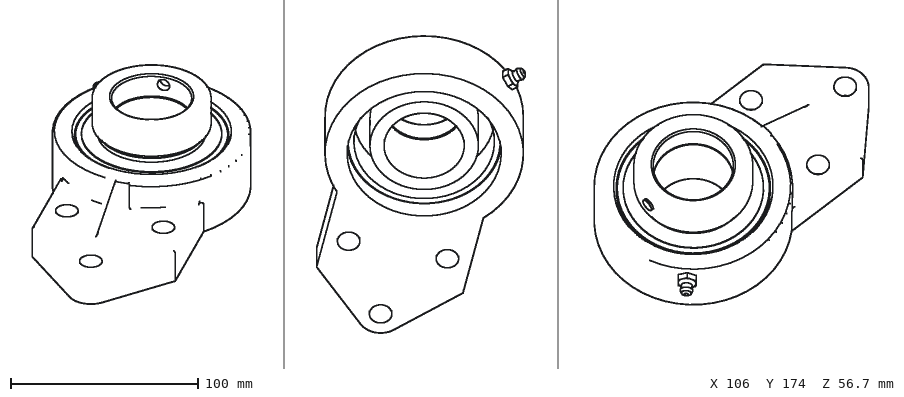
import cadquery as cq
import math

overall_length = 174.0
housing_diameter = 106.0
housing_height = 34.8
housing_edge_fillet = 1.0

plate_width = 80.0
plate_thickness = 19.1
plate_edge_fillet = 1.7
plate_shoulder_y = -85.5
tip_radius = 12.7
tip_hole_y = housing_diameter / 2 - overall_length + tip_radius
side_hole_x = 27.0
side_hole_y = -65.0
mounting_hole_diameter = 12.0
root_fillet = 1.2

rib_width = 8.2
rib_edge_fillet = 1.2
rib_end_y = -90.0

recess_diameter = 85.0
recess_fillet = 1.4

bearing_center_z = 21.7
sphere_diameter = 85.0
outer_ring_width = 22.0
outer_ring_bore = 75.0
outer_ring_chamfer = 0.5
outer_ring_end_diameter = math.sqrt(sphere_diameter**2 - outer_ring_width**2)
outer_ring_bottom_z = bearing_center_z - outer_ring_width / 2
outer_ring_top_z = bearing_center_z + outer_ring_width / 2

inner_ring_diameter = 58.0
inner_ring_shoulder_z = 36.2
neck_diameter = 57.0
spigot_diameter = 50.3
spigot_top_z = 43.1
shaft_bore = 42.8
spigot_chamfer = 0.9

shield_rim_z = 33.2
shield_inner_z = 33.8
shield_thickness = 1.7

collar_diameter = 63.5
collar_bottom_z = 39.0
collar_top_z = 56.7
collar_edge_fillet = 0.9
collar_bore_chamfer = 1.0

screw_diameter = 6.8
screw_z = 50.8
screw_inner_y = 26.1
screw_outer_y = 32.9

nipple_direction = 135
nipple_z = 27.3
hex_across_flats = 9.5
hex_end = 56.2
nipple_neck_radius = 3.0
nipple_neck_start = 57.8
nipple_neck_end = 59.2
nipple_head_radius = 3.4
nipple_head_widest = 60.7
nipple_nose_radius = 2.6
nipple_nose_start = 62.5
nipple_tip_radius = 1.13
nipple_tip = 63.3

SMALL = 0.02


def cylinder(diameter, bottom_z, top_z):
    return cq.Workplane("XY").workplane(offset=bottom_z).circle(diameter / 2).extrude(top_z - bottom_z)


def make_plate():
    half_width = plate_width / 2
    reach_y = plate_shoulder_y - tip_hole_y
    distance = math.hypot(half_width, reach_y)
    angle = math.atan2(reach_y, half_width) - math.acos(tip_radius / distance)
    tangent_x = tip_radius * math.cos(angle)
    tangent_y = tip_hole_y + tip_radius * math.sin(angle)
    return (
        cq.Workplane("XY")
        .moveTo(-half_width, 0)
        .lineTo(-half_width, plate_shoulder_y)
        .lineTo(-tangent_x, tangent_y)
        .threePointArc((0, tip_hole_y - tip_radius), (tangent_x, tangent_y))
        .lineTo(half_width, plate_shoulder_y)
        .lineTo(half_width, 0)
        .close()
        .extrude(plate_thickness)
        .faces(">Z")
        .edges("not >Y")
        .fillet(plate_edge_fillet)
    )


def make_rib():
    body_y = -housing_diameter / 2
    return (
        cq.Workplane("YZ")
        .moveTo(0, 0)
        .lineTo(0, housing_height)
        .lineTo(body_y, housing_height)
        .lineTo(rib_end_y, plate_thickness)
        .lineTo(rib_end_y, 0)
        .close()
        .extrude(rib_width / 2, both=True)
    )


def make_sphere_band():
    """Solid zone of the bearing sphere, as wide as the outer ring."""
    sphere = cq.Workplane("XY").sphere(sphere_diameter / 2).translate((0, 0, bearing_center_z))
    return sphere.intersect(cylinder(sphere_diameter, outer_ring_bottom_z, outer_ring_top_z))


def round_rib(flange):
    """Round the long edges along the rib's sloping top and the corners at its foot."""
    foot_lines = cq.selectors.BoxSelector(
        (-rib_width, rib_end_y - SMALL, plate_thickness - SMALL),
        (rib_width, SMALL, plate_thickness + SMALL),
    )
    slope_edges = cq.selectors.BoxSelector(
        (-rib_width, rib_end_y, plate_thickness + root_fillet + SMALL),
        (rib_width, -SMALL, housing_height - SMALL),
    )
    return flange.edges(foot_lines).fillet(root_fillet).edges(slope_edges).fillet(rib_edge_fillet)


def make_body_foot():
    """Concave rounding in the corner between the round body and the top of the plate."""
    body_radius = housing_diameter / 2
    arc_center = (body_radius + root_fillet, plate_thickness + root_fillet)
    arc_reach = root_fillet * math.sqrt(0.5)
    foot = (
        cq.Workplane("XZ")
        .moveTo(body_radius - root_fillet, plate_thickness)
        .lineTo(body_radius + root_fillet, plate_thickness)
        .threePointArc(
            (arc_center[0] - arc_reach, arc_center[1] - arc_reach),
            (body_radius, plate_thickness + root_fillet),
        )
        .lineTo(body_radius - root_fillet, plate_thickness + root_fillet)
        .close()
        .revolve(360, (0, 0), (0, 1))
    )
    flat_width = plate_width - 2 * plate_edge_fillet
    plate_side = cq.Workplane("XY").box(
        flat_width, housing_diameter, housing_height, centered=(True, False, False)
    ).translate((0, -housing_diameter, 0))
    return foot.intersect(plate_side)


def make_housing():
    body = cylinder(housing_diameter, 0, housing_height).faces(">Z").edges().fillet(housing_edge_fillet)
    flange = round_rib(make_plate().union(make_rib()))
    outside = body.union(flange).union(make_body_foot())
    holes = (
        cq.Workplane("XY")
        .pushPoints([(-side_hole_x, side_hole_y), (side_hole_x, side_hole_y), (0, tip_hole_y)])
        .circle(mounting_hole_diameter / 2)
        .extrude(plate_thickness)
    )
    recess = cylinder(recess_diameter, outer_ring_top_z, housing_height)
    recess = recess.faces("<Z").edges().fillet(recess_fillet)
    exit_hole = cylinder(outer_ring_end_diameter, 0, outer_ring_bottom_z)
    return outside.cut(holes).cut(recess).cut(make_sphere_band()).cut(exit_hole)


def make_outer_ring():
    ring = make_sphere_band().faces(">Z or <Z").edges().chamfer(outer_ring_chamfer)
    return ring.cut(cylinder(outer_ring_bore, outer_ring_bottom_z, outer_ring_top_z))


def make_shield():
    """Disc between the rings, rising in a shallow cone towards the inner ring."""
    return (
        cq.Workplane("XZ")
        .moveTo(inner_ring_diameter / 2, shield_inner_z)
        .lineTo(outer_ring_bore / 2, shield_rim_z)
        .lineTo(outer_ring_bore / 2, shield_rim_z - shield_thickness)
        .lineTo(inner_ring_diameter / 2, shield_inner_z - shield_thickness)
        .close()
        .revolve(360, (0, 0), (0, 1))
    )


def make_inner_ring():
    bottom_z = 2 * bearing_center_z - inner_ring_shoulder_z
    ring = (
        cylinder(inner_ring_diameter, bottom_z, inner_ring_shoulder_z)
        .union(cylinder(neck_diameter, inner_ring_shoulder_z, collar_bottom_z))
        .union(cylinder(spigot_diameter, collar_bottom_z, spigot_top_z))
        .cut(cylinder(shaft_bore, bottom_z, spigot_top_z))
    )
    return ring.faces(">Z").edges(cq.selectors.RadiusNthSelector(0)).chamfer(spigot_chamfer)


def make_screw_blank(inner_y, outer_y):
    """Round bar of the set screw, between two distances from the Z axis."""
    return (
        cq.Workplane("XZ", origin=(0, inner_y, screw_z))
        .circle(screw_diameter / 2)
        .extrude(inner_y - outer_y)
    )


def make_collar():
    collar = cylinder(collar_diameter, collar_bottom_z, collar_top_z)
    collar = collar.faces(">Z or <Z").edges().fillet(collar_edge_fillet)
    collar = collar.cut(cylinder(shaft_bore, collar_bottom_z, collar_top_z))
    collar = collar.faces(">Z").edges(cq.selectors.RadiusNthSelector(0)).chamfer(collar_bore_chamfer)
    collar = collar.cut(cylinder(spigot_diameter, collar_bottom_z, spigot_top_z))
    return collar.cut(make_screw_blank(0, collar_diameter / 2))


def make_nipple():
    """Built along +X from the Z axis, seated on the round body, then turned to its direction."""
    hexagon = (
        cq.Workplane("YZ")
        .polygon(6, hex_across_flats, circumscribed=True)
        .extrude(hex_end)
    )
    head = (
        cq.Workplane("XY")
        .moveTo(hex_end, 0)
        .lineTo(hex_end, hex_across_flats / 2)
        .lineTo(nipple_neck_start, nipple_neck_radius)
        .lineTo(nipple_neck_end, nipple_neck_radius)
        .lineTo(nipple_head_widest, nipple_head_radius)
        .lineTo(nipple_nose_start, nipple_nose_radius)
        .lineTo(nipple_tip, nipple_tip_radius)
        .lineTo(nipple_tip, 0)
        .close()
        .revolve(360, (0, 0), (1, 0))
    )
    nipple = hexagon.union(head).translate((0, 0, nipple_z))
    nipple = nipple.cut(cylinder(housing_diameter, 0, housing_height))
    return nipple.rotate((0, 0, 0), (0, 0, 1), nipple_direction)


housing = make_housing()
outer_ring = make_outer_ring()
shield = make_shield()
inner_ring = make_inner_ring()
collar = make_collar()
set_screw = make_screw_blank(screw_inner_y, screw_outer_y)
nipple = make_nipple()

result = cq.Compound.makeCompound(
    [
        housing.val(),
        outer_ring.val(),
        shield.val(),
        inner_ring.val(),
        collar.val(),
        set_screw.val(),
        nipple.val(),
    ]
)